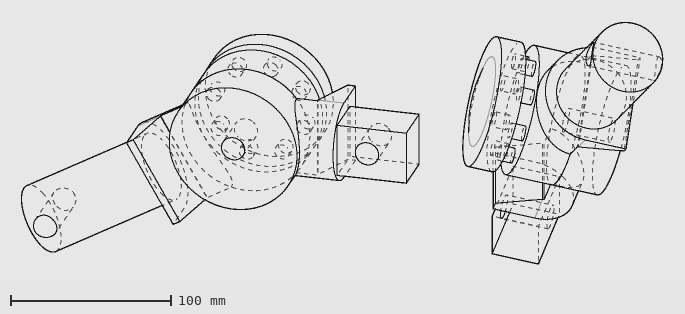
import cadquery as cq
import math

hub_diameter = 82.8
hub_thickness = 30.0
hole_diameter = 15.0

neck_end = 63.2
plate_thickness = 5.0
wedge_length = 16.9

square_neck_radius = 25.5
square_neck_offset = 1.0
square_flange_reach = 28.2
tang_end = 108.0
tang_width = 30.2
tang_height = 34.2
tang_hole_position = 82.5

round_arm_tilt = 30.0
round_neck_radius = 30.2
round_neck_offset = 0.5
round_flange_reach = 27.2
shaft_diameter = 45.0
shaft_end = 153.0
shaft_hole_position = 143.0

pin_count = 8
pin_diameter = 9.5
pin_circle_radius = 30.2
cap_diameter = 83.0
cap_start = 38.7
cap_end = 54.5
dome_radius = 28.7
dome_height = 5.0


def y_cylinder(diameter, start, end, x=0.0, z=0.0):
    """Cylinder parallel to Y between two Y positions."""
    plane = cq.Plane(origin=(x, start, z), xDir=(1, 0, 0), normal=(0, 1, 0))
    return cq.Workplane(plane).circle(diameter / 2).extrude(end - start)


def x_cylinder(diameter, start, end, y=0.0):
    """Cylinder parallel to X between two X positions."""
    return cq.Workplane("YZ", origin=(start, y, 0)).circle(diameter / 2).extrude(end - start)


def front_neck(radius, axis_offset, flange_reach):
    """Rounded neck along +X in front of Y = 0, with a wedge flange behind it."""
    neck = x_cylinder(2 * radius, 0, neck_end, axis_offset)
    wedge_start = neck_end - wedge_length
    root_space = cq.Workplane("XY").box(
        neck_end, 2 * radius, 2 * radius, centered=(False, False, True)
    ).translate((0, -2 * radius, 0))
    flange_space = cq.Workplane("XY").box(
        wedge_length, 2 * radius, 2 * radius, centered=(False, False, True)
    ).translate((wedge_start, axis_offset - 2 * radius, 0))
    wedge = (
        cq.Workplane("XY", origin=(0, 0, -radius))
        .moveTo(wedge_start, axis_offset)
        .lineTo(neck_end, axis_offset)
        .lineTo(neck_end, flange_reach)
        .lineTo(neck_end - plate_thickness, flange_reach)
        .close()
        .extrude(2 * radius)
    )
    return neck.intersect(root_space.union(flange_space)).union(wedge)


def make_square_half():
    """Front hub with the square tang."""
    hub = y_cylinder(hub_diameter, -hub_thickness, 0)
    neck = front_neck(square_neck_radius, square_neck_offset, square_flange_reach)
    tang = cq.Workplane("XY").box(
        tang_end - neck_end, tang_width, tang_height, centered=(False, True, True)
    ).translate((neck_end, 0, 0))
    pivot_hole = y_cylinder(hole_diameter, -hub_thickness, 0)
    cross_hole = y_cylinder(hole_diameter, -tang_width, tang_width, tang_hole_position)
    return hub.union(neck).union(tang).cut(pivot_hole).cut(cross_hole)


def make_pin_cap():
    """Domed disc and the pins that join it to the rear hub."""
    cap_radius = cap_diameter / 2
    dome_sphere_radius = (dome_radius**2 + dome_height**2) / (2 * dome_height)
    cap = (
        cq.Workplane("XY")
        .moveTo(0, cap_start)
        .lineTo(cap_radius, cap_start)
        .lineTo(cap_radius, cap_end)
        .lineTo(dome_radius, cap_end)
        .radiusArc((0, cap_end + dome_height), -dome_sphere_radius)
        .close()
        .revolve(360, (0, 0, 0), (0, 1, 0))
    )
    for index in range(pin_count):
        angle = math.radians(index * 360 / pin_count)
        x = pin_circle_radius * math.cos(angle)
        z = pin_circle_radius * math.sin(angle)
        cap = cap.union(y_cylinder(pin_diameter, hub_thickness, cap_start, x, z))
    return cap


def make_round_half():
    """Rear hub with the round shaft and the cap, built along -X and then tilted."""
    hub = y_cylinder(hub_diameter, 0, hub_thickness)
    neck = front_neck(round_neck_radius, round_neck_offset, round_flange_reach)
    neck = neck.rotate((0, 0, 0), (0, 0, 1), 180)
    shaft = x_cylinder(shaft_diameter, -shaft_end, -neck_end)
    cross_hole = y_cylinder(hole_diameter, -shaft_diameter, shaft_diameter, -shaft_hole_position)
    half = hub.union(neck).union(shaft).cut(cross_hole).union(make_pin_cap())
    return half.rotate((0, 0, 0), (0, 1, 0), -round_arm_tilt)


square_half = make_square_half()
round_half = make_round_half()
result = cq.Compound.makeCompound([square_half.val(), round_half.val()])